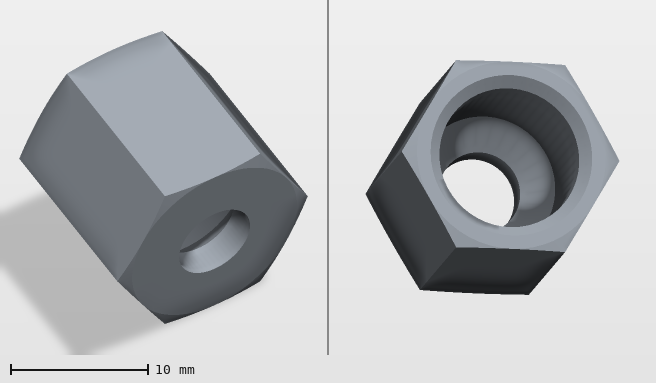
import cadquery as cq
import math

length = 14.5
across_corners = 16.17
across_flats = across_corners * math.cos(math.radians(30))
corner_chamfer_angle = 15.0

mouth_radius = 6.0
bore_radius = 5.19
tube_radius = 3.0
mouth_depth = mouth_radius - bore_radius
cone_start = 10.0
cone_end = cone_start + (bore_radius - tube_radius)

x_front = -length / 2
x_back = length / 2


def revolve_about_x(points):
    """Revolve a closed (x, radius) outline about the X axis."""
    outline = cq.Workplane("XY").polyline(points).close()
    return outline.revolve(360, (0, 0, 0), (1, 0, 0))


def hexagonal_body():
    """Hexagonal bar with corners at +Y and -Y, chamfered at both ends."""
    bar = (
        cq.Workplane("YZ", origin=(x_front, 0, 0))
        .polygon(6, across_corners)
        .extrude(length)
    )
    corner_radius = across_corners / 2
    face_radius = across_flats / 2
    chamfer_length = (corner_radius - face_radius) * math.tan(math.radians(corner_chamfer_angle))
    envelope = revolve_about_x([
        (x_front, 0),
        (x_front, face_radius),
        (x_front + chamfer_length, corner_radius),
        (x_back - chamfer_length, corner_radius),
        (x_back, face_radius),
        (x_back, 0),
    ])
    return bar.intersect(envelope)


def stepped_bore():
    """Bevelled mouth, straight bore, inner cone and tube hole."""
    return revolve_about_x([
        (x_front, 0),
        (x_front, mouth_radius),
        (x_front + mouth_depth, bore_radius),
        (x_front + cone_start, bore_radius),
        (x_front + cone_end, tube_radius),
        (x_back, tube_radius),
        (x_back, 0),
    ])


result = hexagonal_body().cut(stepped_bore())